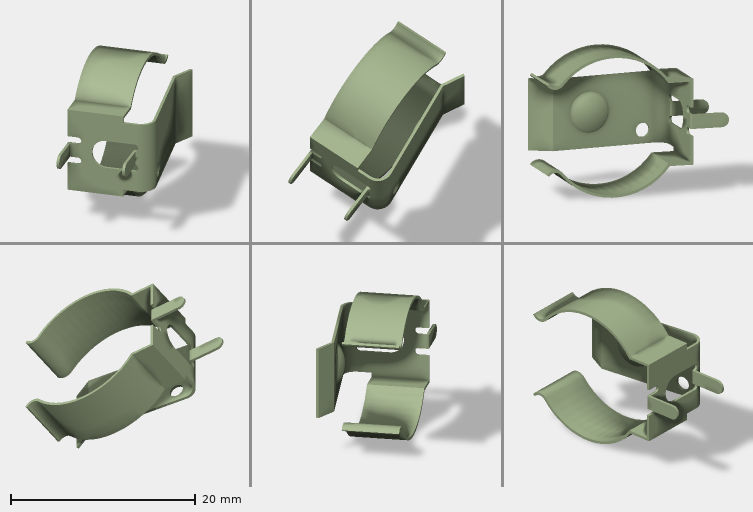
import cadquery as cq
import math

sheet = 0.31

body_width = 6.35
plate_half_height = 4.76
arm_radius = 7.9
shelf_depth = 2.67
arm_centre_y = shelf_depth + math.sqrt(arm_radius**2 - plate_half_height**2)
arm_end_angle = math.radians(40)
lip_radius = 0.87
lip_reach = 16.65

blade_half_height = 3.98
blade_outer_x = 9.53
bend_radius = 1.65
bend_centre_x = blade_outer_x - bend_radius
blade_lean = math.radians(6.7)
knee_y = 13.59
tip_flare = math.radians(27)
tip_y = 16.03

dome_radius = 2.28
dome_height = 0.83
dome_y = 9.25
hole_radius = 0.797
hole_y = 2.98
hole_z = -2.49

tab_half_width = 0.797
tab_length = 4.05
tab_bend_radius = 0.19
right_tab_x = 7.45
slot_width = tab_half_width
slot_offset = tab_half_width + slot_width / 2
left_slot_end = 1.57
right_slot_end = 8.05
window_start = 2.78
window_half_height = tab_half_width + slot_width


def polar(centre, radius, angle):
    """Point at the given radius and angle from a centre."""
    return (centre[0] + radius * math.cos(angle), centre[1] + radius * math.sin(angle))


def make_arm():
    """Upper half of the clip section in YZ: plate, shelf, round arm and turned-out lip."""
    centre = (arm_centre_y, 0)
    inner_radius = arm_radius - sheet
    lip_outer = lip_radius + sheet
    lip_centre = polar(centre, arm_radius + lip_radius, arm_end_angle)
    lip_start = arm_end_angle - math.pi
    lip_end = -math.acos((lip_reach - lip_centre[0]) / lip_outer)
    lip_middle = (lip_start + lip_end) / 2

    inner_shelf_z = plate_half_height - sheet
    inner_shelf_y = arm_centre_y - math.sqrt(inner_radius**2 - inner_shelf_z**2)
    return (
        cq.Workplane("YZ")
        .moveTo(0, 0)
        .lineTo(0, plate_half_height)
        .lineTo(shelf_depth, plate_half_height)
        .threePointArc((arm_centre_y, arm_radius), polar(centre, arm_radius, arm_end_angle))
        .threePointArc(polar(lip_centre, lip_radius, lip_middle), polar(lip_centre, lip_radius, lip_end))
        .lineTo(*polar(lip_centre, lip_outer, lip_end))
        .threePointArc(polar(lip_centre, lip_outer, lip_middle), polar(lip_centre, lip_outer, lip_start))
        .threePointArc((arm_centre_y, inner_radius), (inner_shelf_y, inner_shelf_z))
        .lineTo(sheet, inner_shelf_z)
        .lineTo(sheet, 0)
        .close()
        .extrude(body_width)
    )


bend_centre = (bend_centre_x, bend_radius)
inner_bend_end = polar(bend_centre, bend_radius - sheet, blade_lean)


def blade_face_x(y):
    """X of the blade's inner face at a given Y."""
    return inner_bend_end[0] - (y - inner_bend_end[1]) * math.tan(blade_lean)


def make_blade():
    """Strip that runs along the plate, turns the bend, leans inward and flares at the tip."""
    inner_bend = bend_radius - sheet
    bend_middle_angle = (blade_lean - math.pi / 2) / 2
    bend_middle = polar(bend_centre, bend_radius, bend_middle_angle)
    bend_end = polar(bend_centre, bend_radius, blade_lean)
    inner_knee = (blade_face_x(knee_y), knee_y)
    mitre_angle = (tip_flare - blade_lean) / 2
    mitre_length = sheet / math.cos((tip_flare + blade_lean) / 2)
    outer_knee = polar(inner_knee, mitre_length, -mitre_angle)
    inner_tip = (inner_knee[0] + (tip_y - knee_y) * math.tan(tip_flare), tip_y)
    outer_tip = polar(inner_tip, sheet, -tip_flare)
    return (
        cq.Workplane("XY")
        .moveTo(0, 0)
        .lineTo(bend_centre_x, 0)
        .threePointArc(bend_middle, bend_end)
        .lineTo(*outer_knee)
        .lineTo(*outer_tip)
        .lineTo(*inner_tip)
        .lineTo(*inner_knee)
        .lineTo(*inner_bend_end)
        .threePointArc(polar(bend_centre, inner_bend, bend_middle_angle), (bend_centre_x, sheet))
        .lineTo(0, sheet)
        .close()
        .extrude(blade_half_height, both=True)
    )


def blade_plane(y, z):
    """Plane on the blade's inner face, its normal pointing into the clip."""
    normal = (-math.cos(blade_lean), -math.sin(blade_lean), 0)
    return cq.Plane(origin=(blade_face_x(y), y, z), xDir=(0, 0, 1), normal=normal)


def make_dome():
    """Spherical contact cap standing on the blade's inner face."""
    sphere_radius = (dome_radius**2 + dome_height**2) / (2 * dome_height)
    plane = blade_plane(dome_y, 0)
    sphere = cq.Workplane(plane).workplane(offset=dome_height - sphere_radius).sphere(sphere_radius)
    cap_limit = cq.Workplane(plane).circle(dome_radius + sheet).extrude(dome_height + sheet)
    return sphere.intersect(cap_limit)


def slot_cutter(start_x, end_x, z):
    """Relief slot through the plate, round at its right-hand end."""
    radius = slot_width / 2
    return (
        cq.Workplane("XZ")
        .moveTo(start_x, z - radius)
        .lineTo(end_x - radius, z - radius)
        .threePointArc((end_x, z), (end_x - radius, z + radius))
        .lineTo(start_x, z + radius)
        .close()
        .extrude(-2 * sheet)
    )


def window_cutter():
    """Opening left of the right-hand tab, round at its left end."""
    round_x = window_start + window_half_height
    return (
        cq.Workplane("XZ")
        .moveTo(right_tab_x, -window_half_height)
        .lineTo(round_x, -window_half_height)
        .threePointArc((window_start, 0), (round_x, window_half_height))
        .lineTo(right_tab_x, window_half_height)
        .close()
        .extrude(-2 * sheet)
    )


def make_tab(x):
    """Solder tab with a round tip, bent out of the plate."""
    return (
        cq.Workplane("YZ", origin=(x, 0, 0))
        .moveTo(sheet, -tab_half_width)
        .lineTo(tab_half_width - tab_length, -tab_half_width)
        .threePointArc((-tab_length, 0), (tab_half_width - tab_length, tab_half_width))
        .lineTo(sheet, tab_half_width)
        .close()
        .extrude(sheet)
    )


def bend_relief(x):
    """Sliver removed to round the back of a tab's bend."""
    size = tab_bend_radius
    corner = cq.Workplane("XY").box(size, size, 2 * tab_half_width, centered=(False, False, True))
    rounding = cq.Workplane("XY").center(size, 0).circle(size).extrude(tab_half_width, both=True)
    return corner.cut(rounding).translate((x, sheet - size, 0))


upper_arm = make_arm()
result = upper_arm.union(upper_arm.mirror("XY")).union(make_blade()).union(make_dome())

result = result.cut(window_cutter())
for side in (-1, 1):
    result = result.cut(slot_cutter(0, left_slot_end, side * slot_offset))
    result = result.cut(slot_cutter(right_tab_x, right_slot_end, side * slot_offset))

for tab_x in (0, right_tab_x):
    result = result.union(make_tab(tab_x)).cut(bend_relief(tab_x))

hole = cq.Workplane(blade_plane(hole_y, hole_z)).circle(hole_radius).extrude(2 * sheet, both=True)
result = result.cut(hole)